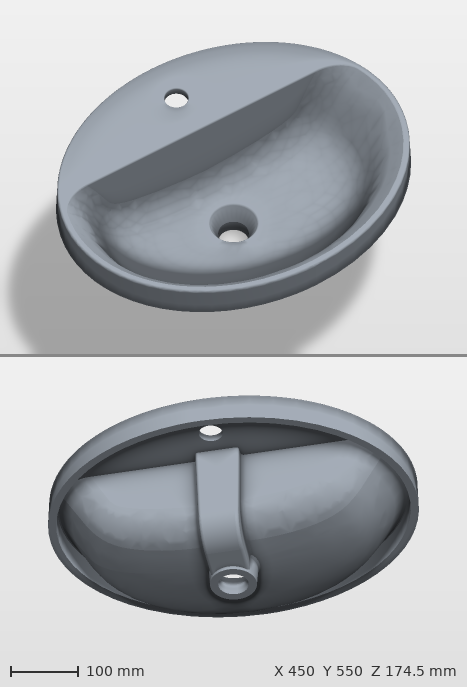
import cadquery as cq
import math


RIM_LENGTH = 550.0
RIM_WIDTH = 450.0
RIM_HEIGHT = 45.5
SKIRT_TAPER = 2.5
RIM_ROUND = 4.5
THICKNESS = 12.0
DECK_UNDERSIDE = RIM_HEIGHT - THICKNESS

FLOOR_RADIUS = 39.5
BOWL_FLOOR = -97.0
BOWL_THICKNESS = 11.0
DRAIN_SEAT_TOP = BOWL_FLOOR + BOWL_THICKNESS

OUTER_OVALS = [
    (DECK_UNDERSIDE, 211.0, 259.0),
    (0.0, 191.0, 240.0),
    (-35.0, 171.0, 220.0),
    (-60.5, 144.5, 197.0),
    (-78.0, 110.0, 158.5),
    (-89.0, 71.5, 104.5),
    (BOWL_FLOOR, FLOOR_RADIUS, FLOOR_RADIUS),
]
INNER_OVALS = [
    (RIM_HEIGHT, 214.5, 264.5),
    (5.5, 181.5, 231.0),
    (-29.0, 162.0, 211.0),
    (-52.0, 137.5, 190.0),
    (-68.0, 105.5, 153.0),
    (-78.5, 69.0, 99.0),
    (DRAIN_SEAT_TOP, FLOOR_RADIUS, FLOOR_RADIUS),
]
BOWL_EDGE_ROUND = 3.5

WALL_LEAN = 4.8
WALL_OUTER_X = -94.0
WALL_INNER_X = WALL_OUTER_X + BOWL_THICKNESS
OUTER_WALL_BLEND = 49.5
INNER_WALL_BLEND = 41.0

DRAIN_BOTTOM = -129.0
SPOUT_BOTTOM_RADIUS = 34.5
SPOUT_TOP_RADIUS = 37.0
SPOUT_OVERLAP = 5.5
SPOUT_TOP = BOWL_FLOOR + SPOUT_OVERLAP
FLARE_HEIGHT = 4.0
DRAIN_HOLE_RADIUS = 22.5
DRAIN_SEAT_RADIUS = 36.5
DRAIN_SEAT_DEPTH = 25.0
DRAIN_EDGE_ROUND = 4.5

DUCT_TOP_X = -113.5
DUCT_FLOOR_Z = -127.5
DUCT_CORNER_RISE = 11.0
WALL_BACK_Z = -91.0
DUCT_BEND = 47.0
DUCT_TOP_WIDTH = 66.0
DUCT_BOTTOM_WIDTH = 58.5
DUCT_EDGE_ROUND = 5.0
DUCT_CREASE_ROUND = 4.5

TAP_X = -155.0
TAP_RADIUS = 17.5
TAP_ROUND = 2.0

BIG = 2 * RIM_LENGTH
TOUCH = 0.5


def tapered_oval(inset, height):
    """Oval block standing on z = 0 whose side leans in at the skirt taper."""
    oval = cq.Workplane("XY").ellipse(RIM_WIDTH / 2 - inset, RIM_LENGTH / 2 - inset)
    return oval.extrude(height, taper=SKIRT_TAPER)


def bowl_body(ovals, wall_x, blend):
    """Smooth stack of ovals, cut off by the leaning wall and blended into it."""
    stack = cq.Workplane("XY")
    last_z = 0
    for z, half_x, half_y in ovals:
        stack = stack.workplane(offset=z - last_z).ellipse(half_x, half_y)
        last_z = z
    behind_wall = (
        cq.Workplane("XY").box(BIG, BIG, BIG).translate((-BIG / 2, 0, 0))
        .rotate((0, 0, 0), (0, 1, 0), -WALL_LEAN).translate((wall_x, 0, 0))
    )
    body = stack.loft().cut(behind_wall)
    wall = body.faces(cq.selectors.NearestToPointSelector((wall_x, 0, 0)))
    return wall.edges("not |Y").fillet(blend)


def rim_shell():
    """Rim with a rounded top edge, hollow underneath up to the deck."""
    rim = tapered_oval(0, RIM_HEIGHT).faces(">Z").edges().fillet(RIM_ROUND)
    return rim.cut(tapered_oval(THICKNESS, DECK_UNDERSIDE))


def drain_spout():
    """Slightly conical stub under the bowl that flares where it meets the floor."""
    profile = (
        cq.Workplane("XZ")
        .moveTo(0, DRAIN_BOTTOM)
        .lineTo(SPOUT_BOTTOM_RADIUS, DRAIN_BOTTOM)
        .lineTo(SPOUT_TOP_RADIUS, BOWL_FLOOR - FLARE_HEIGHT)
        .lineTo(FLOOR_RADIUS, BOWL_FLOOR)
        .lineTo(SPOUT_TOP_RADIUS, SPOUT_TOP)
        .lineTo(0, SPOUT_TOP)
        .close()
    )
    return profile.revolve(360, (0, 0, 0), (0, 1, 0))


def overflow_duct():
    """L-shaped duct body that narrows toward its floor, with rounded outer edges."""
    lean = math.tan(math.radians(WALL_LEAN))
    corner_z = DUCT_FLOOR_Z + DUCT_CORNER_RISE
    side = (
        cq.Workplane("XZ")
        .moveTo(DUCT_TOP_X - lean * DECK_UNDERSIDE, DECK_UNDERSIDE)
        .lineTo(DUCT_TOP_X - lean * corner_z, corner_z)
        .lineTo(0, DUCT_FLOOR_Z)
        .lineTo(0, WALL_BACK_Z)
        .lineTo(WALL_INNER_X, DECK_UNDERSIDE)
        .close()
        .extrude(BIG / 2, both=True)
    )
    front = (
        cq.Workplane("YZ")
        .moveTo(-DUCT_TOP_WIDTH / 2, DECK_UNDERSIDE)
        .lineTo(DUCT_TOP_WIDTH / 2, DECK_UNDERSIDE)
        .lineTo(DUCT_BOTTOM_WIDTH / 2, DRAIN_BOTTOM)
        .lineTo(-DUCT_BOTTOM_WIDTH / 2, DRAIN_BOTTOM)
        .close()
        .extrude(BIG / 2, both=True)
    )
    duct = side.intersect(front)
    bend = cq.selectors.NearestToPointSelector((DUCT_TOP_X, 0, corner_z))
    duct = duct.edges(bend).fillet(DUCT_BEND)
    back = duct.faces(cq.selectors.NearestToPointSelector((DUCT_TOP_X, 0, 0)))
    return back.edges("not |Y").fillet(DUCT_EDGE_ROUND)


def drain_opening():
    """Conical seat above a straight outlet hole, as one cutting tool."""
    seat = (
        cq.Workplane("XY").workplane(offset=DRAIN_SEAT_TOP - DRAIN_SEAT_DEPTH)
        .circle(DRAIN_HOLE_RADIUS)
        .workplane(offset=DRAIN_SEAT_DEPTH).circle(DRAIN_SEAT_RADIUS)
        .loft()
    )
    hole = (
        cq.Workplane("XY").workplane(offset=DRAIN_BOTTOM)
        .circle(DRAIN_HOLE_RADIUS).extrude(DRAIN_SEAT_TOP - DRAIN_BOTTOM)
    )
    return seat.union(hole)


def underside():
    """Outer bowl and duct with the creases between them rounded, plus the spout."""
    body = bowl_body(OUTER_OVALS, WALL_OUTER_X, OUTER_WALL_BLEND).union(overflow_duct())
    near_y = DUCT_BOTTOM_WIDTH / 2
    far_y = DUCT_TOP_WIDTH / 2
    right_creases = cq.selectors.BoxSelector(
        (WALL_OUTER_X, near_y, BOWL_FLOOR - TOUCH), (-TOUCH, far_y, 0)
    )
    left_creases = cq.selectors.BoxSelector(
        (WALL_OUTER_X, -near_y, BOWL_FLOOR - TOUCH), (-TOUCH, -far_y, 0)
    )
    body = body.edges(right_creases + left_creases).fillet(DUCT_CREASE_ROUND)
    return body.union(drain_spout())


outside = rim_shell().union(underside())
basin = outside.cut(bowl_body(INNER_OVALS, WALL_INNER_X, INNER_WALL_BLEND))

bowl_edge = cq.selectors.NearestToPointSelector((WALL_INNER_X, 0, RIM_HEIGHT))
basin = basin.edges(bowl_edge).fillet(BOWL_EDGE_ROUND)

basin = basin.cut(drain_opening())
seat_edge = cq.selectors.BoxSelector(
    (-TOUCH, -TOUCH, DRAIN_SEAT_TOP - TOUCH), (TOUCH, TOUCH, DRAIN_SEAT_TOP + TOUCH)
)
basin = basin.edges("%CIRCLE").edges(seat_edge).fillet(DRAIN_EDGE_ROUND)

tap_hole = cq.Workplane("XY").center(TAP_X, 0).circle(TAP_RADIUS).extrude(RIM_HEIGHT)
basin = basin.cut(tap_hole)
tap_edge = cq.selectors.NearestToPointSelector((TAP_X, 0, RIM_HEIGHT))
result = basin.edges("%CIRCLE").edges(tap_edge).fillet(TAP_ROUND)